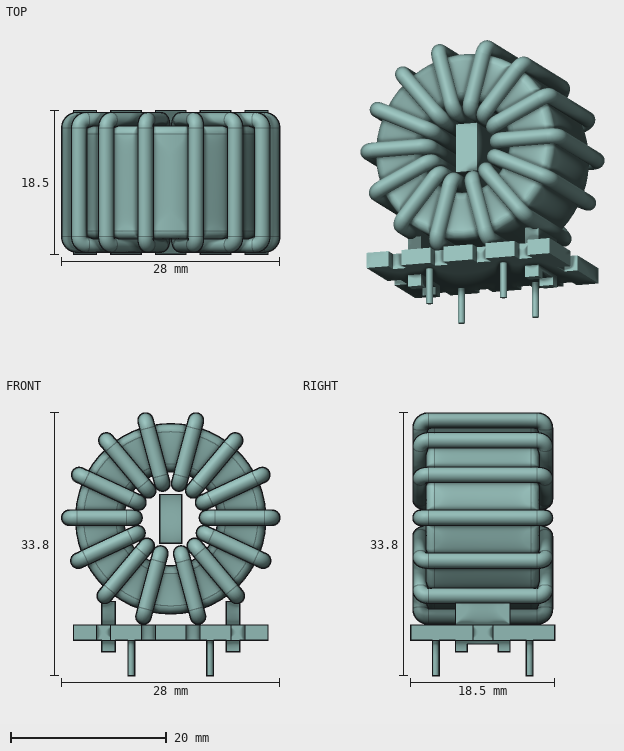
import cadquery as cq
import math


wire_diameter = 2.0
winding_diameter = 28.0
winding_length = 17.95
winding_bore_radius = 3.65
bend_radius = 1.0
turn_spacing = 25.0
turns_above_middle = 3
turn_offset = 0.15

core_diameter = 24.43
core_bore_diameter = 12.0
core_length = 14.5
core_fillet = 1.05

divider_width = 2.85
divider_height = 6.28
divider_length = 12.0

base_length = 24.97
base_depth = 18.5
base_thickness = 2.0
base_clearance = 0.07
long_side_notch_count = 4
long_side_notch_width = 1.8
long_side_notch_depth = 1.8
long_side_notch_pitch = 5.75
end_notch_width = 2.55
end_notch_depth = 1.8

post_spacing = 15.95
post_thickness = 1.8
post_depth = 7.02
post_height = 3.0
post_foot_length = 1.5
post_foot_gap = 3.9
post_foot_gap_height = 1.0

pin_diameter = 0.88
pin_spacing_x = 10.1
pin_spacing_y = 12.0
overall_height = 33.75

wire_radius = wire_diameter / 2
leg_radius_outer = winding_diameter / 2 - wire_radius
leg_radius_inner = winding_bore_radius + wire_radius
leg_y = winding_length / 2 - wire_radius
steepest_turn = math.radians(turn_spacing * turns_above_middle)
steepest_leg_height = leg_radius_outer * math.sin(steepest_turn)
steepest_leg_rise = turn_offset * math.cos(steepest_turn)
winding_top = steepest_leg_height + steepest_leg_rise + wire_radius
winding_bottom = -steepest_leg_height + steepest_leg_rise - wire_radius
base_top = winding_bottom - base_clearance
base_bottom = base_top - base_thickness
pin_bottom = winding_top - overall_height


def make_turn(angle):
    """A round-cornered loop of wire, offset from the axis plane and raised by angle degrees from +X."""
    corners = [
        cq.Vector(leg_radius_inner, -leg_y, turn_offset),
        cq.Vector(leg_radius_outer, -leg_y, turn_offset),
        cq.Vector(leg_radius_outer, leg_y, turn_offset),
        cq.Vector(leg_radius_inner, leg_y, turn_offset),
    ]
    loop = cq.Wire.makePolygon(corners, close=True)
    loop = loop.fillet2D(bend_radius, loop.Vertices())
    turn = (
        cq.Workplane("XZ", origin=(leg_radius_outer, 0, turn_offset))
        .circle(wire_radius)
        .sweep(cq.Workplane(loop))
    )
    return turn.rotate((0, 0, 0), (0, 1, 0), -angle)


def make_core():
    """A ring along Y with all four of its circular edges rounded."""
    return (
        cq.Workplane("XZ", origin=(0, core_length / 2, 0))
        .circle(core_diameter / 2)
        .circle(core_bore_diameter / 2)
        .extrude(core_length)
        .faces("<Y or >Y")
        .edges()
        .fillet(core_fillet)
    )


def make_wound_core():
    """The core with its turns fused on: two mirrored banks, one on each side of X = 0."""
    turns = []
    for step in range(-turns_above_middle, turns_above_middle + 1):
        turn = make_turn(step * turn_spacing)
        turns.append(turn.val())
        turns.append(turn.mirror("YZ").val())
    return cq.Workplane(make_core().val().fuse(*turns))


def make_divider():
    """A plain block that fills the middle of the bore without touching the turns."""
    return cq.Workplane("XY").box(divider_width, divider_length, divider_height)


def box_between(width, depth, bottom, top):
    """A box centred on the Z axis that reaches from bottom to top."""
    height = top - bottom
    floor = cq.Workplane("XY", origin=(0, 0, bottom))
    return floor.box(width, depth, height, centered=(True, True, False))


def cut_notches(plate):
    """Cut a row of notches along each long side and one in the middle of each end."""
    long_side_notch = box_between(long_side_notch_width, 2 * long_side_notch_depth, base_bottom, base_top)
    end_notch = box_between(2 * end_notch_depth, end_notch_width, base_bottom, base_top)
    first_notch_x = -long_side_notch_pitch * (long_side_notch_count - 1) / 2
    for side in (-1, 1):
        plate = plate.cut(end_notch.translate((side * base_length / 2, 0, 0)))
        for index in range(long_side_notch_count):
            notch_x = first_notch_x + index * long_side_notch_pitch
            plate = plate.cut(long_side_notch.translate((notch_x, side * base_depth / 2, 0)))
    return plate


def make_post():
    """A flat post through the base that ends below it in two feet."""
    foot_bottom = base_bottom - post_foot_length
    post = box_between(post_thickness, post_depth, foot_bottom, base_top + post_height)
    foot_gap = box_between(post_thickness, post_foot_gap, foot_bottom, foot_bottom + post_foot_gap_height)
    return post.cut(foot_gap)


def make_base():
    """The notched plate with its two posts and four pins."""
    base = cut_notches(box_between(base_length, base_depth, base_bottom, base_top))
    for side in (-1, 1):
        base = base.union(make_post().translate((side * post_spacing / 2, 0, 0)))
    pins = (
        cq.Workplane("XY", origin=(0, 0, pin_bottom))
        .rarray(pin_spacing_x, pin_spacing_y, 2, 2)
        .circle(pin_diameter / 2)
        .extrude(base_top - pin_bottom)
    )
    return base.union(pins)


wound_core = make_wound_core()
divider = make_divider()
base = make_base().cut(wound_core)

result = cq.Compound.makeCompound([wound_core.val(), divider.val(), base.val()])